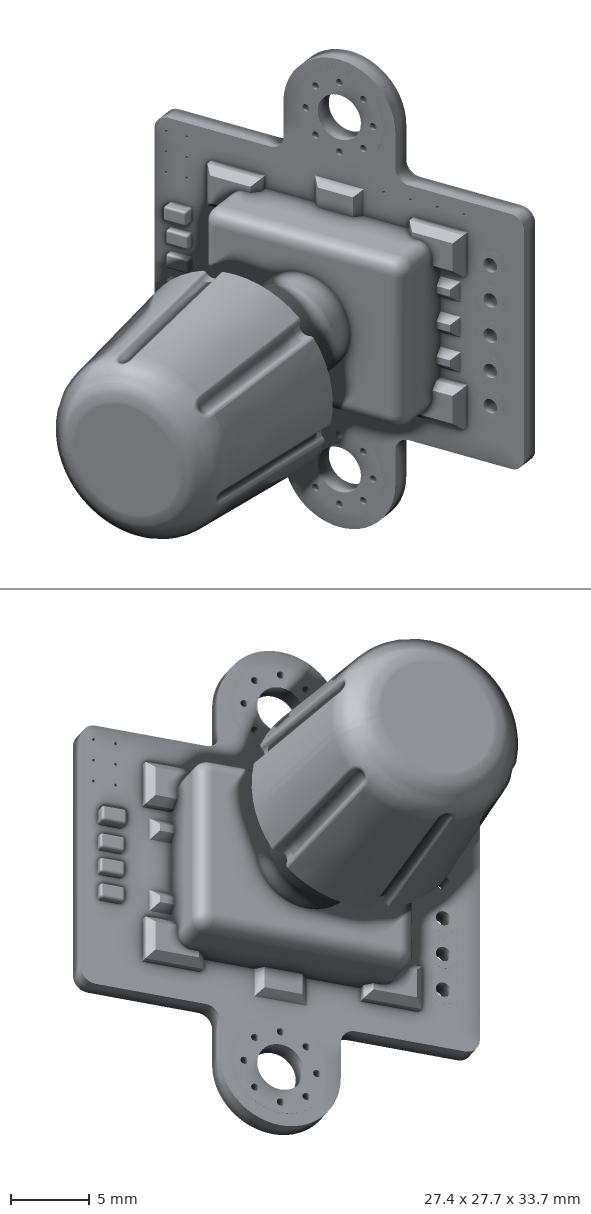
import cadquery as cq
import math


board_width = 27.43
board_height = 18.38
board_thickness = 1.36
corner_radius = 1.0
tab_radius = 4.15
tab_offset = 12.7
tab_root_fillet = 1.0
copper_thickness = 0.01
mount_hole_dia = 3.2
mount_pad_dia = 6.5
mount_via_dia = 0.5
mount_via_circle_dia = 5.0
mount_via_count = 8
pitch = 2.54
header_hole_dia = 1.0
header_pad_dia = 2.0
header_hole_x = 11.2
header_count = 5
via_dia = 0.2
left_via_xs = (-12.85, -11.33)
left_via_zs = (5.22, 6.7, 8.18)
top_via_xs = (3.3, 5.28, 7.26, 9.24)
top_via_z = max(left_via_zs)

chip_length = 1.7
chip_width = 1.05
chip_x = -11.74
chip_fillet = 0.18
chip_zs_and_heights = ((2.69, 0.82), (0.87, 0.53), (-0.87, 0.53), (-2.69, 0.53))

case_width = 15.0
case_depth = 12.12
case_height = 4.45
case_fillet = 1.0
lead_bevel = 0.5
lead_bevel_angle = 45
lead_thickness = 0.5
corner_lead_size = (4.0, 3.0)
corner_lead_center = (7.5, 5.5)
corner_lead_thickness = 1.0
lead_overlap = 1.0
side_lead_reach = 9.0
side_lead_width = 1.5
end_lead_reach = 8.0
end_lead_width = 3.6
collar_dia = 6.95
collar_length = 1.98
neck_dia = 6.03
neck_taper_length = 2.0
neck_length = 4.46
shaft_dia = 6.0
shaft_grip = 9.0

knob_base_height = 13.07
knob_length = 13.3
knob_base_radius = 7.33
knob_side_angle = 5.0
knob_bevel_angle = 50.5
knob_nose_radius = 2.0
knob_face_radius = 3.92
groove_count = 6
groove_radius = 0.58
groove_base_rise = 0.05
groove_end_rise = 0.15
groove_end = 11.38
groove_overrun = 1.1
groove_lip_fillet = 0.3
knob_turn = 12.3

indicator_width = 0.5
indicator_depth = 0.3
indicator_start = 2.3
indicator_inner_radius = 3.3


def front_plane(height=0.0):
    """Plane parallel to the board: local x is X, local y is Z, normal is -Y."""
    return cq.Workplane("XZ", origin=(0, -height, 0))


def polar(radius, angle):
    return (radius * math.cos(math.radians(angle)), radius * math.sin(math.radians(angle)))


mount_centers = [(0, tab_offset), (0, -tab_offset)]
header_centers = [(header_hole_x, (i - (header_count - 1) / 2) * pitch) for i in range(header_count)]


def board_outline():
    body = front_plane().rect(board_width, board_height).extrude(-board_thickness)
    body = body.edges("|Y").fillet(corner_radius)
    tab = front_plane().rect(2 * tab_radius, 2 * tab_offset).extrude(-board_thickness)
    ends = front_plane().pushPoints(mount_centers).circle(tab_radius).extrude(-board_thickness)
    body = body.union(tab).union(ends)
    roots = cq.selectors.BoxSelector(
        (-board_width / 4, -board_thickness, -tab_offset),
        (board_width / 4, 2 * board_thickness, tab_offset),
    )
    return body.edges("|Y").edges(roots).fillet(tab_root_fillet)


def board_holes(centers, diameter):
    depth = board_thickness + copper_thickness
    return front_plane(copper_thickness).pushPoints(centers).circle(diameter / 2).extrude(-depth)


def mount_via_centers():
    centers = []
    for x, z in mount_centers:
        for i in range(mount_via_count):
            dx, dz = polar(mount_via_circle_dia / 2, i * 360 / mount_via_count)
            centers.append((x + dx, z + dz))
    return centers


def chip(z, height):
    body = front_plane().center(chip_x, z).rect(chip_length, chip_width).extrude(height)
    return body.edges("|Y or <Y").fillet(chip_fillet)


def make_board():
    board = board_outline()
    for centers, pad_dia, hole_dia in (
        (mount_centers, mount_pad_dia, mount_hole_dia),
        (header_centers, header_pad_dia, header_hole_dia),
    ):
        pads = front_plane().pushPoints(centers).circle(pad_dia / 2).extrude(copper_thickness)
        board = board.union(pads).cut(board_holes(centers, hole_dia))
    board = board.cut(board_holes(mount_via_centers(), mount_via_dia))
    via_centers = [(x, z) for x in left_via_xs for z in left_via_zs]
    via_centers += [(x, top_via_z) for x in top_via_xs]
    board = board.cut(board_holes(via_centers, via_dia))
    for z, height in chip_zs_and_heights:
        board = board.union(chip(z, height))
    return board


def lead(x, z, width, depth, thickness):
    """Lead pad with a bevel around its top."""
    foot = front_plane().center(x, z).rect(width, depth)
    straight = thickness - lead_bevel
    if straight <= 0:
        return foot.extrude(lead_bevel, taper=lead_bevel_angle)
    top = front_plane(straight).center(x, z).rect(width, depth)
    top = top.extrude(lead_bevel, taper=lead_bevel_angle)
    return foot.extrude(straight).union(top)


def encoder_leads():
    leads = []
    for side_x in (-1, 1):
        for side_z in (-1, 1):
            x = side_x * corner_lead_center[0]
            z = side_z * corner_lead_center[1]
            leads.append(lead(x, z, *corner_lead_size, corner_lead_thickness))
    side_length = side_lead_reach - case_width / 2 + lead_overlap
    side_x = side_lead_reach - side_length / 2
    for x, z in ((-side_x, -pitch), (-side_x, pitch), (side_x, -pitch), (side_x, 0), (side_x, pitch)):
        leads.append(lead(x, z, side_length, side_lead_width, lead_thickness))
    end_length = end_lead_reach - case_depth / 2 + lead_overlap
    end_z = end_lead_reach - end_length / 2
    for z in (-end_z, end_z):
        leads.append(lead(0, z, end_lead_width, end_length, lead_thickness))
    return leads


def make_shaft():
    """Collar, tapered neck and shaft, turned about the Y axis."""
    collar_end = case_height + collar_length
    taper_end = collar_end + neck_taper_length
    neck_end = taper_end + neck_length
    shaft_end = knob_base_height + shaft_grip
    return (
        cq.Workplane("XY")
        .moveTo(0, -case_height / 2)
        .lineTo(collar_dia / 2, -case_height / 2)
        .lineTo(collar_dia / 2, -collar_end)
        .lineTo(neck_dia / 2, -taper_end)
        .lineTo(neck_dia / 2, -neck_end)
        .lineTo(shaft_dia / 2, -neck_end)
        .lineTo(shaft_dia / 2, -shaft_end)
        .lineTo(0, -shaft_end)
        .close()
        .revolve(360, (0, 0, 0), (0, 1, 0))
    )


def make_encoder():
    case = front_plane().rect(case_width, case_depth).extrude(case_height)
    case = case.edges("|Y or <Y").fillet(case_fillet)
    for pad in encoder_leads():
        case = case.union(pad)
    return case.union(make_shaft())


knob_tip_height = knob_base_height + knob_length


def knob_blank(inset=0.0):
    """Tapered knob with a bevelled, rounded nose; inset moves its skin inward."""
    nose = knob_nose_radius - inset
    side = knob_side_angle
    bevel = knob_bevel_angle

    def arc_point(center, angle):
        dr, dh = polar(nose, angle)
        return (center[0] + dr, -(center[1] + dh))

    face_center = (knob_face_radius, knob_tip_height - knob_nose_radius)
    side_normal_r, side_normal_h = polar(1, side)
    bevel_dir_r, bevel_dir_h = -math.sin(math.radians(bevel)), math.cos(math.radians(bevel))
    reach_r = knob_base_radius - face_center[0]
    reach_h = knob_base_height - face_center[1]
    reach = reach_r * side_normal_r + reach_h * side_normal_h - knob_nose_radius
    slide = reach / (bevel_dir_r * side_normal_r + bevel_dir_h * side_normal_h)
    side_center = (face_center[0] + slide * bevel_dir_r, face_center[1] + slide * bevel_dir_h)
    base_radius = knob_base_radius - inset / math.cos(math.radians(side))
    return (
        cq.Workplane("XY")
        .moveTo(0, -knob_base_height)
        .lineTo(base_radius, -knob_base_height)
        .lineTo(*arc_point(side_center, side))
        .threePointArc(arc_point(side_center, (side + bevel) / 2), arc_point(side_center, bevel))
        .lineTo(*arc_point(face_center, bevel))
        .threePointArc(arc_point(face_center, (bevel + 90) / 2), arc_point(face_center, 90))
        .lineTo(0, -(knob_tip_height - inset))
        .close()
        .revolve(360, (0, 0, 0), (0, 1, 0))
    )


def turn_about_shaft(shape, angle):
    """Turn from the +X direction toward +Z."""
    return shape.rotate((0, 0, 0), (0, -1, 0), angle)


def groove_cutter():
    """Round-ended bar on the +X side, its axis rising slowly from the tapered side."""
    end_radius = knob_base_radius - groove_end * math.tan(math.radians(knob_side_angle))
    base = cq.Vector(knob_base_radius + groove_base_rise, -knob_base_height, 0)
    end = cq.Vector(end_radius + groove_end_rise, -(knob_base_height + groove_end), 0)
    start = end + (base - end) * groove_overrun
    bar = cq.Solid.makeCylinder(groove_radius, (end - start).Length, start, end - start)
    ball = cq.Workplane("XY").sphere(groove_radius).translate(end)
    return cq.Workplane(obj=bar).union(ball)


def make_knob():
    knob = knob_blank()
    for i in range(groove_count):
        angle = (i + 0.5) * 360 / groove_count
        knob = knob.cut(turn_about_shaft(groove_cutter(), angle))
    knob = knob.edges("%BSPLINE").fillet(groove_lip_fillet)
    knob = turn_about_shaft(knob, 180 + knob_turn)
    bore = front_plane(knob_base_height).circle(shaft_dia / 2).extrude(shaft_grip)
    return knob.cut(bore)


def make_indicator():
    length = knob_base_radius - indicator_inner_radius
    stripe = (
        front_plane(knob_base_height + indicator_start)
        .center(indicator_inner_radius + length / 2, 0)
        .rect(length, indicator_width)
        .extrude(knob_length)
    )
    stripe = stripe.intersect(knob_blank()).cut(knob_blank(indicator_depth))
    return turn_about_shaft(stripe, 180 + knob_turn)


board = make_board()
encoder = make_encoder()
indicator = make_indicator()
knob = make_knob().cut(indicator)

bodies = (board, encoder, knob, indicator)
result = cq.Compound.makeCompound([body.solids().val() for body in bodies])